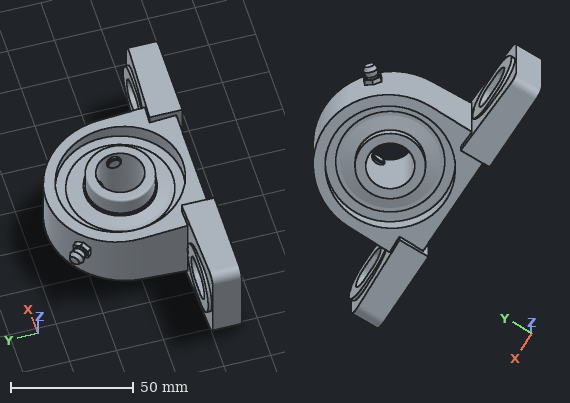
import cadquery as cq
import math

length = 127.0
foot_height = 38.0
base_y = -33.4
foot_thickness = 14.1
foot_end_thickness = 12.5
foot_inner_x = 23.5
left_corner_radius = 4.5
right_corner_radius = 6.6
slot_length = 19.2
slot_width = 12.8
slot_offset_x = 47.4
boss_rim = 5.6

block_radius = 31.6
block_base_y = -30.7
block_top_height = 22.7
block_base_height = 32.5

recess_radius = 26.7
ring_radius = 22.4
ring_half_width = 8.0
seal_radius = 20.6
seal_inner_z = 9.0
lip_radius = 15.1
lip_top_z = 10.0
collar_radius = 14.5
collar_top_z = 18.3
collar_bottom_z = -12.7
collar_rounding = 1.0
bore_radius = 10.0

screw_angles = (0, 100)
screw_z = 13.3
screw_radius = 3.0
screw_inner = 8.5
screw_outer = 14.0
screw_chamfer = 0.5

nipple_z = 3.8
nipple_angle = 135
nipple_root = 29.2
nipple_hex_end = 33.7
nipple_waist = 34.4
nipple_head = 37.0
nipple_tip = 39.0
nipple_hex_flats = 7.0
nipple_collar_radius = 2.8
nipple_waist_radius = 2.5
nipple_head_radius = 3.2
nipple_tip_radius = 2.2


def make_foot(side, corner_radius):
    """One foot with its slotted boss; side is -1 or 1 along X."""
    end_x = side * length / 2
    inner_x = side * foot_inner_x
    foot = (
        cq.Workplane("XY")
        .workplane(offset=-foot_height / 2)
        .polyline([
            (inner_x, base_y),
            (end_x, base_y),
            (end_x, base_y + foot_end_thickness),
            (inner_x, base_y + foot_thickness),
        ])
        .close()
        .extrude(foot_height)
    )
    outer_face = ">X" if side > 0 else "<X"
    foot = foot.faces(outer_face).edges("|Y").fillet(corner_radius)
    boss = slot_prism(side, slot_length + 2 * boss_rim, slot_width + 2 * boss_rim)
    return foot.union(boss).cut(slot_prism(side, slot_length, slot_width))


def slot_prism(side, prism_length, prism_width):
    """Round-ended prism through the boss thickness, centred on the foot slot."""
    return (
        cq.Workplane("XZ", origin=(side * slot_offset_x, base_y, 0))
        .slot2D(prism_length, prism_width)
        .extrude(-foot_thickness)
    )


def make_block():
    """Arched block, tapered in Z from its base to its crown."""
    arch = (
        cq.Workplane("XY")
        .workplane(offset=-block_base_height / 2)
        .moveTo(-block_radius, block_base_y)
        .lineTo(block_radius, block_base_y)
        .lineTo(block_radius, 0)
        .threePointArc((0, block_radius), (-block_radius, 0))
        .close()
        .extrude(block_base_height)
    )
    taper = (
        cq.Workplane("YZ")
        .workplane(offset=-block_radius)
        .polyline([
            (block_base_y, -block_base_height / 2),
            (block_radius, -block_top_height / 2),
            (block_radius, block_top_height / 2),
            (block_base_y, block_base_height / 2),
        ])
        .close()
        .extrude(2 * block_radius)
    )
    return arch.intersect(taper)


def make_nipple():
    """Grease nipple pointing radially out of the arch, shaped along +X and then swung round Z."""
    hex_corners = nipple_hex_flats / math.cos(math.pi / 6)
    hexagon = (
        cq.Workplane(cq.Plane(origin=(nipple_root, 0, 0), xDir=(0, 0, 1), normal=(1, 0, 0)))
        .polygon(6, hex_corners)
        .extrude(nipple_hex_end - nipple_root)
    )
    head = (
        cq.Workplane("XY")
        .polyline([
            (nipple_root, 0),
            (nipple_root, nipple_collar_radius),
            (nipple_hex_end, nipple_collar_radius),
            (nipple_waist, nipple_waist_radius),
            (nipple_head, nipple_head_radius),
            (nipple_tip, nipple_tip_radius),
            (nipple_tip, 0),
        ])
        .close()
        .revolve(360, (0, 0, 0), (1, 0, 0))
    )
    nipple = hexagon.union(head)
    return nipple.translate((0, 0, nipple_z)).rotate((0, 0, 0), (0, 0, 1), nipple_angle)


def make_housing():
    """Block, feet and nipple in one casting, recessed on both sides and bored for the insert."""
    housing = make_block()
    housing = housing.union(make_foot(-1, left_corner_radius))
    housing = housing.union(make_foot(1, right_corner_radius))
    housing = housing.union(make_nipple())
    for side in (-1, 1):
        recess = (
            cq.Workplane("XY")
            .workplane(offset=side * ring_half_width)
            .circle(recess_radius)
            .extrude(side * foot_height)
        )
        housing = housing.cut(recess)
    seat = cq.Workplane("XY").circle(ring_radius).extrude(foot_height, both=True)
    return housing.cut(seat)


def make_insert():
    """Bearing insert: outer ring, seals and the collared inner ring with its set screws."""
    profile = [
        (bore_radius, collar_bottom_z),
        (collar_radius, collar_bottom_z),
        (collar_radius, -seal_inner_z),
        (lip_radius, -seal_inner_z),
        (seal_radius, -ring_half_width),
        (ring_radius, -ring_half_width),
        (ring_radius, ring_half_width),
        (seal_radius, ring_half_width),
        (lip_radius, seal_inner_z),
        (lip_radius, lip_top_z),
        (collar_radius, lip_top_z),
        (collar_radius, collar_top_z),
        (bore_radius, collar_top_z),
    ]
    insert = cq.Workplane("XZ").polyline(profile).close().revolve(360, (0, 0, 0), (0, 1, 0))
    outer_rim = cq.selectors.RadiusNthSelector(-1)
    insert = insert.faces(">Z").edges(outer_rim).fillet(collar_rounding)
    for angle in screw_angles:
        screw = (
            cq.Workplane("YZ", origin=(screw_inner, 0, screw_z))
            .circle(screw_radius)
            .extrude(screw_outer - screw_inner)
            .faces("<X")
            .chamfer(screw_chamfer)
            .rotate((0, 0, 0), (0, 0, 1), angle)
        )
        insert = insert.union(screw)
    return insert


housing = make_housing()
insert = make_insert()
result = cq.Compound.makeCompound([housing.val(), insert.val()])